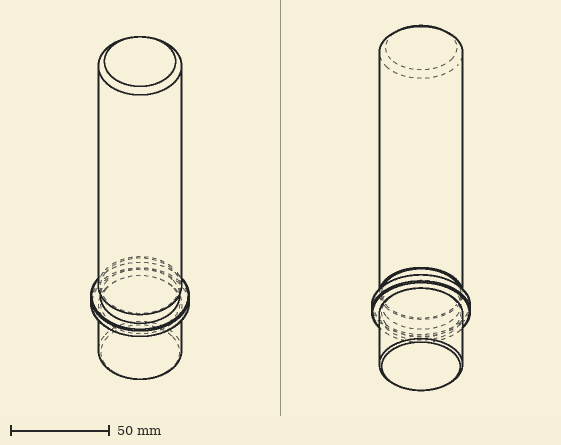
import cadquery as cq

total_length = 205.0
pin_radius = 21.1
neck_radius = 20.0
collar_radius = 25.0

lower_pin_top = 33.6
collar_bottom = 34.6
collar_thickness = 5.1
collar_top = collar_bottom + collar_thickness
neck_top = 47.0

top_chamfer = 3.0
bottom_chamfer = 1.2
collar_chamfer = 0.6
shoulder_run = pin_radius - neck_radius

profile = [
    (0, 0),
    (pin_radius - bottom_chamfer, 0),
    (pin_radius, bottom_chamfer),
    (pin_radius, lower_pin_top),
    (pin_radius - shoulder_run, collar_bottom),
    (collar_radius - collar_chamfer, collar_bottom),
    (collar_radius, collar_bottom + collar_chamfer),
    (collar_radius, collar_top - collar_chamfer),
    (collar_radius - collar_chamfer, collar_top),
    (neck_radius, collar_top),
    (neck_radius, neck_top),
    (pin_radius, neck_top),
    (pin_radius, total_length - top_chamfer),
    (pin_radius - top_chamfer, total_length),
    (0, total_length),
]

result = cq.Workplane("XZ").polyline(profile).close().revolve(360, (0, 0, 0), (0, 1, 0))